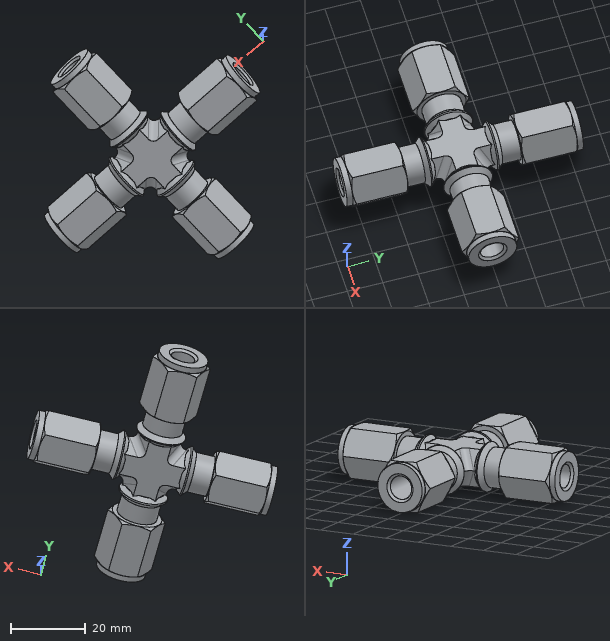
import cadquery as cq
import math

PORT_REACH = 33.3
PORT_ANGLES = (0, 90, 180, 270)

ARM_FLATS = 10.65
ARM_FILLET = 2.2

COLLAR_RADIUS = 6.9
COLLAR_RIM_REACH = 9.5
COLLAR_START = 7.9
RIM_WIDTH = 0.4
RIM_DROP = 0.2

SLEEVE_DIAMETER = 11.1

NUT_FLATS = 14.0
NUT_START = 16.1
END_BAND_LENGTH = 1.65
END_BAND_DIAMETER = 13.65
NUT_FACE_RADIUS = 6.9
NUT_CHAMFER_ANGLE = 30.0
NUT_TWISTS = {90: 2.0}

BORE_RADIUS = 3.25
MOUTH_RADIUS = 4.0
MOUTH_DEPTH = 0.65

NUT_END = PORT_REACH - END_BAND_LENGTH


def corner_diameter(flats):
    """Across-corners size of a hexagon."""
    return flats / math.cos(math.radians(30))


def revolve_about_x(points):
    """Turn a closed outline of (x, radius) points about the X axis."""
    return cq.Workplane("XY").polyline(points).close().revolve(360, (0, 0, 0), (1, 0, 0))


def cylinder_along_x(start, end, radius):
    return cq.Workplane("YZ", origin=(start, 0, 0)).circle(radius).extrude(end - start)


def at_port(shape, angle):
    """Swing a shape built along +X to the port at the given angle."""
    return shape.rotate((0, 0, 0), (0, 0, 1), angle)


def make_body():
    """Two crossing hexagonal bars with filleted inner corners."""
    half_height = ARM_FLATS / 2
    half_corner = corner_diameter(ARM_FLATS) / 2
    half_flat = half_corner / 2
    outline = [
        (-half_corner, 0),
        (half_corner, 0),
        (half_flat, half_height),
        (-half_flat, half_height),
    ]
    bar = (
        cq.Workplane("YZ")
        .polyline(outline)
        .close()
        .extrude(COLLAR_RIM_REACH, both=True)
    )
    upper_half = bar.union(at_port(bar, 90))

    margin = 0.05
    corner_edges = cq.selectors.BoxSelector(
        (-half_corner, -half_corner, margin),
        (half_corner, half_corner, half_height - margin),
    )
    upper_half = upper_half.edges(corner_edges).fillet(ARM_FILLET)
    return upper_half.union(upper_half.mirror("XY"))


def make_sleeve():
    """Sleeve with the double-cone collar, both cones at 45 degrees."""
    sleeve_radius = SLEEVE_DIAMETER / 2
    rim_start = COLLAR_RIM_REACH - RIM_WIDTH
    rim_start_radius = COLLAR_RADIUS - RIM_DROP
    start_radius = rim_start_radius - (rim_start - COLLAR_START)
    outer_end = COLLAR_RIM_REACH + (COLLAR_RADIUS - sleeve_radius)
    return revolve_about_x([
        (COLLAR_START, 0),
        (COLLAR_START, start_radius),
        (rim_start, rim_start_radius),
        (COLLAR_RIM_REACH, COLLAR_RADIUS),
        (outer_end, sleeve_radius),
        (NUT_START, sleeve_radius),
        (NUT_START, 0),
    ])


def make_nut(twist):
    """Hexagon nut with chamfered corners and a round band at its outer end."""
    corner = corner_diameter(NUT_FLATS)
    hexagon = (
        cq.Workplane("YZ", origin=(NUT_START, 0, 0))
        .polygon(6, corner)
        .extrude(NUT_END - NUT_START)
    )
    corner_radius = corner / 2
    chamfer = (corner_radius - NUT_FACE_RADIUS) * math.tan(math.radians(NUT_CHAMFER_ANGLE))
    envelope = revolve_about_x([
        (NUT_START, 0),
        (NUT_START, NUT_FACE_RADIUS),
        (NUT_START + chamfer, corner_radius),
        (NUT_END - chamfer, corner_radius),
        (NUT_END, NUT_FACE_RADIUS),
        (NUT_END, 0),
    ])
    hexagon = hexagon.intersect(envelope).rotate((0, 0, 0), (1, 0, 0), twist)
    return hexagon.union(cylinder_along_x(NUT_END, PORT_REACH, END_BAND_DIAMETER / 2))


def make_bore():
    """Flow bore from the centre of the cross, opening through a conical mouth."""
    return revolve_about_x([
        (0, 0),
        (0, BORE_RADIUS),
        (PORT_REACH - MOUTH_DEPTH, BORE_RADIUS),
        (PORT_REACH, MOUTH_RADIUS),
        (PORT_REACH, 0),
    ])


result = make_body()
for angle in PORT_ANGLES:
    port = make_sleeve().union(make_nut(NUT_TWISTS.get(angle, 0.0)))
    result = result.union(at_port(port, angle))
for angle in PORT_ANGLES:
    result = result.cut(at_port(make_bore(), angle))